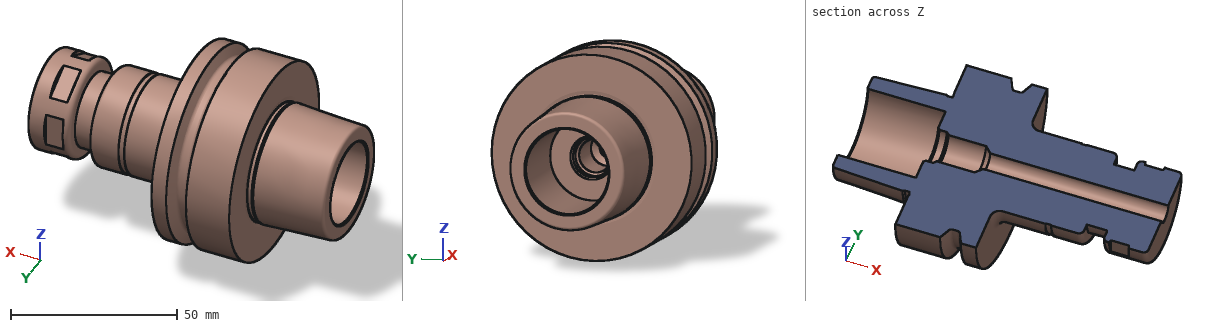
import cadquery as cq
import math

total_length = 100.0

shank_mouth_radius = 18.0
shank_root_radius = 19.1
shank_taper_end = 23.0
shank_mouth_round = 1.0
relief_radius = 18.8
relief_start = 23.7
undercut_round = 0.6
undercut_depth = 0.15
undercut_outer_radius = 20.4

flange_start = 25.1
flange_end = 51.0
flange_radius = 63.0 / 2
groove_center = 42.8
groove_floor_radius = 55.0 / 2
groove_mouth_width = 6.6
groove_corner_width = 2.9
groove_corner_round = 0.9

body_radius = 32.0 / 2
body_end = 79.4
body_root_fillet = 3.0
body_end_round = 1.8
band_start = 67.5
band_width = 1.9
band_radius = 31.6 / 2
neck_radius = 24.0 / 2

nut_start = 85.8
nut_radius = 32.0 / 2
nut_round = 1.6
flat_count = 6
flat_distance = 15.0
flat_start = 88.2
flat_width = 5.7
flat_wall_angle = 15.0

bore_radius = 26.0 / 2
bore_depth = 25.0
bore_chamfer = 0.4
pocket_mouth_radius = 13.3 / 2
counterbore_radius = 12.0 / 2
counterbore_depth = 3.0
core_radius = 10.2 / 2
core_depth = 12.0
through_radius = 6.0 / 2


def revolve_about_x(profile):
    """Revolve a closed profile drawn as (axial position, radius)."""
    return profile.close().revolve(360, (0, 0, 0), (1, 0, 0))


def cylinder(start, end, radius):
    return cq.Workplane("YZ", origin=(start, 0, 0)).circle(radius).extrude(end - start)


def make_shank():
    undercut_floor = flange_start + undercut_depth
    arc_start = undercut_floor - undercut_round
    half_diagonal = undercut_round * math.sqrt(0.5)
    shank = revolve_about_x(
        cq.Workplane("XY")
        .lineTo(0, shank_mouth_radius)
        .lineTo(shank_taper_end, shank_root_radius)
        .lineTo(relief_start, relief_radius)
        .lineTo(flange_end, relief_radius)
        .lineTo(flange_end, 0)
    ).faces("<X").edges().fillet(shank_mouth_round)
    undercut = revolve_about_x(
        cq.Workplane("XY")
        .moveTo(arc_start, relief_radius)
        .threePointArc(
            (arc_start + half_diagonal, relief_radius + undercut_round - half_diagonal),
            (undercut_floor, relief_radius + undercut_round),
        )
        .lineTo(flange_start, undercut_outer_radius)
        .lineTo(arc_start, undercut_outer_radius)
    )
    return shank, undercut


def make_flange():
    flange = cylinder(flange_start, flange_end, flange_radius)
    groove = revolve_about_x(
        cq.Workplane("XY")
        .moveTo(groove_center - groove_mouth_width / 2, flange_radius)
        .lineTo(groove_center - groove_corner_width / 2, groove_floor_radius)
        .lineTo(groove_center + groove_corner_width / 2, groove_floor_radius)
        .lineTo(groove_center + groove_mouth_width / 2, flange_radius)
    )
    floor_edges = cq.selectors.RadiusNthSelector(0)
    return flange.cut(groove.edges("%CIRCLE").edges(floor_edges).fillet(groove_corner_round))


def make_body():
    body = cylinder(flange_end, body_end, body_radius)
    body = body.faces(">X").edges().fillet(body_end_round)
    fillet_end = flange_end + body_root_fillet
    half_diagonal = body_root_fillet * math.sqrt(0.5)
    root_fillet = revolve_about_x(
        cq.Workplane("XY")
        .moveTo(flange_end, 0)
        .lineTo(flange_end, body_radius + body_root_fillet)
        .threePointArc(
            (fillet_end - half_diagonal, body_radius + body_root_fillet - half_diagonal),
            (fillet_end, body_radius),
        )
        .lineTo(fillet_end, 0)
    )
    band_end = band_start + band_width
    band = cylinder(band_start, band_end, body_radius).cut(cylinder(band_start, band_end, band_radius))
    return body.union(root_fillet).cut(band)


def make_nut():
    nut = cylinder(nut_start, total_length, nut_radius).edges().fillet(nut_round)
    wall_height = nut_radius - flat_distance
    wall_spread = wall_height * math.tan(math.radians(flat_wall_angle))
    flat_end = flat_start + flat_width
    flat_cutter = (
        cq.Workplane("XY")
        .polyline([
            (flat_start, flat_distance),
            (flat_start - wall_spread, nut_radius),
            (flat_end + wall_spread, nut_radius),
            (flat_end, flat_distance),
        ])
        .close()
        .extrude(nut_radius, both=True)
    )
    for index in range(flat_count):
        nut = nut.cut(flat_cutter.rotate((0, 0, 0), (1, 0, 0), index * 360 / flat_count))
    return nut


def make_bore():
    pocket_chamfer = pocket_mouth_radius - counterbore_radius
    counterbore_end = bore_depth + counterbore_depth
    core_start = counterbore_end + counterbore_radius - core_radius
    core_end = core_start + core_depth
    return revolve_about_x(
        cq.Workplane("XY")
        .lineTo(0, bore_radius + bore_chamfer)
        .lineTo(bore_chamfer, bore_radius)
        .lineTo(bore_depth, bore_radius)
        .lineTo(bore_depth, pocket_mouth_radius)
        .lineTo(bore_depth + pocket_chamfer, counterbore_radius)
        .lineTo(counterbore_end, counterbore_radius)
        .lineTo(core_start, core_radius)
        .lineTo(core_end, core_radius)
        .lineTo(core_end + core_radius - through_radius, through_radius)
        .lineTo(total_length, through_radius)
        .lineTo(total_length, 0)
    )


shank, undercut = make_shank()
neck = cylinder(body_end, nut_start, neck_radius)
holder = make_flange().cut(undercut).union(shank.cut(undercut))
holder = holder.union(make_body()).union(neck).union(make_nut())
result = holder.cut(make_bore())